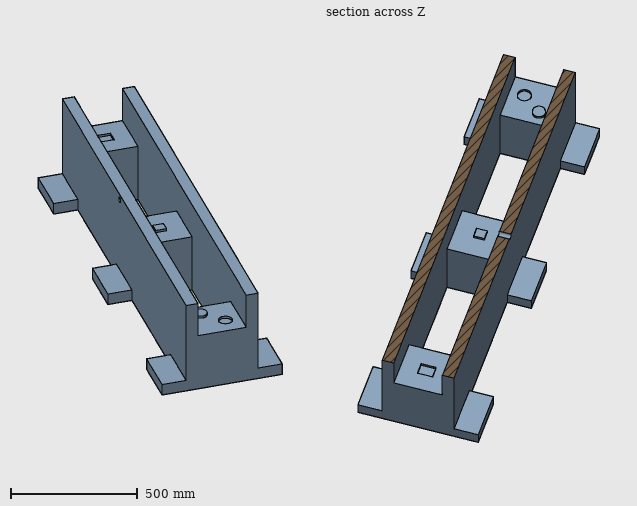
import cadquery as cq

length = 1600.0
foot_width = 500.0
height = 400.0

wall_thickness = 50.0
channel_width = 200.0
wall_offset = (channel_width + wall_thickness) / 2
block_length = 200.0
block_height = 250.0
foot_height = 50.0
end_block_x = (length - block_length) / 2

detail_height = 10.0
pocket_depth = 10.0
pocket_size = (50.0, 62.0)
pocket_center = (-700.0, -5.0)
pad_size = (40.0, 45.0)
pad_center = (6.0, -5.0)
pin_diameter = 53.0
pin_center = (656.0, -43.0)
bore_diameter = 56.0
bore_center = (723.0, 38.0)

wall_hole_diameter = 22.0
wall_hole_x = -60.0
wall_hole_drop = 24.0


def standing_box(size_x, size_y, size_z, center, base_z=0):
    """Box standing on base_z and centred on an XY point."""
    return (
        cq.Workplane("XY", origin=(*center, base_z))
        .box(size_x, size_y, size_z, centered=(True, True, False))
    )


def standing_cylinder(diameter, size_z, center, base_z):
    """Vertical cylinder standing on base_z."""
    return cq.Workplane("XY", origin=(*center, base_z)).circle(diameter / 2).extrude(size_z)


result = standing_box(length, wall_thickness, height, (0, -wall_offset))
result = result.union(standing_box(length, wall_thickness, height, (0, wall_offset)))
for block_x in (-end_block_x, 0, end_block_x):
    result = result.union(standing_box(block_length, channel_width, block_height, (block_x, 0)))
    result = result.union(standing_box(block_length, foot_width, foot_height, (block_x, 0)))

result = result.union(standing_box(*pad_size, detail_height, pad_center, block_height))
result = result.union(standing_cylinder(pin_diameter, detail_height, pin_center, block_height))

pocket_floor = block_height - pocket_depth
result = result.cut(standing_box(*pocket_size, pocket_depth, pocket_center, pocket_floor))
result = result.cut(standing_cylinder(bore_diameter, pocket_depth, bore_center, pocket_floor))

wall_hole = (
    cq.Workplane("XZ", origin=(wall_hole_x, -channel_width / 2, height - wall_hole_drop))
    .circle(wall_hole_diameter / 2)
    .extrude(wall_thickness)
)
result = result.cut(wall_hole)